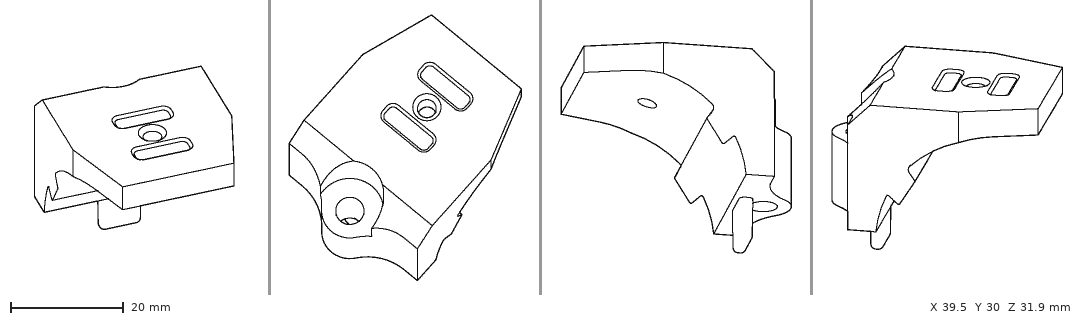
import cadquery as cq
import math

length = 39.5
width = 30.0
height = 23.98
back_x = 5.92
back_chamfer = 4.05
plate_thickness = 5.0

taper_start_x = 26.0
end_width = 21.0

arch_radius = 20.95
arch_center_x = 31.88
arch_center_z = height - plate_thickness - arch_radius

tooth_upper_tip = (18.17, 10.15)
tooth_lower_tip = (15.2, 5.37)
tooth_upper_root_x = 16.63
tooth_lower_root_x = 13.1
tooth_upper_root_round = 0.95
tooth_lower_root_round = 0.3
tooth_tip_round = 0.3

bore_diameter = 5.0
boss_radius = 5.0
boss_center_x = boss_radius
blend_radius = 10.0
counterbore_radius = 6.0
boss_height = 13.0

key_center_x = 8.73
key_thickness = 2.5
key_width = 7.9
key_length = 7.95
key_draft = 0.6
key_round = 1.0

hole_x = taper_start_x
hole_diameter = 3.3
countersink_diameter = 5.0
countersink_angle = 90
pocket_offset = 5.0
pocket_length = 10.05
pocket_width = 3.0
pocket_depth = 3.0
pocket_round = 1.0
pocket_chamfer = 0.5
rim_angle = 45


def arch_point(x):
    """Point of the arch at x, left of its centre and above it."""
    rise = math.sqrt(arch_radius**2 - (arch_center_x - x) ** 2)
    return (x, arch_center_z + rise)


def arch_midpoint(start, end):
    """Point of the arch half way in angle between two of its points."""
    angles = [math.atan2(z - arch_center_z, x - arch_center_x) for x, z in (start, end)]
    angle = sum(angles) / 2
    return (
        arch_center_x + arch_radius * math.cos(angle),
        arch_center_z + arch_radius * math.sin(angle),
    )


def make_side_profile():
    """Side outline with the arch and tooth, extruded over the full width."""
    arch_end = (arch_center_x, height - plate_thickness)
    upper_root = arch_point(tooth_upper_root_x)
    lower_root = arch_point(tooth_lower_root_x)
    foot_end = (arch_center_x - math.sqrt(arch_radius**2 - arch_center_z**2), 0)
    body = (
        cq.Workplane("XZ")
        .moveTo(0, 0)
        .lineTo(0, height - back_chamfer - back_x)
        .lineTo(back_x + back_chamfer, height)
        .lineTo(length, height)
        .lineTo(length, height - plate_thickness)
        .lineTo(*arch_end)
        .threePointArc(arch_midpoint(arch_end, upper_root), upper_root)
        .lineTo(*tooth_upper_tip)
        .lineTo(*tooth_lower_tip)
        .lineTo(*lower_root)
        .threePointArc(arch_midpoint(lower_root, foot_end), foot_end)
        .close()
        .extrude(width / 2, both=True)
    )
    rounds = (
        (upper_root, tooth_upper_root_round),
        (lower_root, tooth_lower_root_round),
        (tooth_upper_tip, tooth_tip_round),
        (tooth_lower_tip, tooth_tip_round),
    )
    for (x, z), radius in rounds:
        corner = cq.selectors.NearestToPointSelector((x, 0, z))
        body = body.edges("|Y").edges(corner).fillet(radius)
    return body


def make_plan(top):
    """Plan outline: boss nose blended into the back face, and tapered plate end."""
    reach = boss_radius + blend_radius
    blend_x = back_x - blend_radius
    blend_y = math.sqrt(reach**2 - (boss_center_x - blend_x) ** 2)
    share = boss_radius / reach
    tangent_x = boss_center_x + share * (blend_x - boss_center_x)
    tangent_y = share * blend_y
    angle = math.atan2(tangent_y - blend_y, tangent_x - blend_x) / 2
    middle_x = blend_x + blend_radius * math.cos(angle)
    middle_y = blend_y + blend_radius * math.sin(angle)
    return (
        cq.Workplane("XY")
        .moveTo(back_x, width / 2)
        .lineTo(taper_start_x, width / 2)
        .lineTo(length, end_width / 2)
        .lineTo(length, -end_width / 2)
        .lineTo(taper_start_x, -width / 2)
        .lineTo(back_x, -width / 2)
        .lineTo(back_x, -blend_y)
        .threePointArc((middle_x, -middle_y), (tangent_x, -tangent_y))
        .threePointArc((0, 0), (tangent_x, tangent_y))
        .threePointArc((middle_x, middle_y), (back_x, blend_y))
        .close()
        .extrude(top)
    )


def make_boss_cuts():
    """Screw bore and the counterbore above it, open towards the back."""
    seat = (
        cq.Workplane("XY", origin=(boss_center_x, 0, boss_height))
        .circle(counterbore_radius)
        .extrude(height)
    )
    opening = (
        cq.Workplane("XY", origin=(0, 0, boss_height))
        .rect(2 * boss_center_x, 2 * counterbore_radius)
        .extrude(height)
    )
    bore = cq.Workplane("XY").center(boss_center_x, 0).circle(bore_diameter / 2).extrude(height)
    return seat.union(opening).union(bore)


def make_key():
    """Rounded key that hangs below the foot."""
    return (
        cq.Workplane("XY")
        .center(key_center_x, 0)
        .rect(key_thickness, key_width)
        .extrude(-key_length, taper=key_draft)
        .edges("not >Z")
        .fillet(key_round)
    )


def make_pocket(x):
    """Round-bottomed pocket with a chamfered rim."""
    pocket = (
        cq.Workplane("XY", origin=(x, 0, height))
        .rect(pocket_width, pocket_length)
        .extrude(-pocket_depth)
        .edges("|Z")
        .fillet(pocket_round)
        .faces("<Z")
        .edges()
        .fillet(pocket_round)
    )
    rim_length = pocket_length + 2 * pocket_chamfer
    rim_width = pocket_width + 2 * pocket_chamfer
    rim_outline = cq.Sketch().rect(rim_width, rim_length).vertices().fillet(pocket_round + pocket_chamfer)
    rim = (
        cq.Workplane("XY", origin=(x, 0, height))
        .placeSketch(rim_outline)
        .extrude(-pocket_chamfer, taper=rim_angle)
    )
    return pocket.union(rim)


body = make_side_profile().intersect(make_plan(height))
body = body.cut(make_boss_cuts())
body = body.union(make_key())
body = (
    body.faces(">Z")
    .workplane(origin=(hole_x, 0, height))
    .cskHole(hole_diameter, countersink_diameter, countersink_angle)
)
for side in (-1, 1):
    body = body.cut(make_pocket(hole_x + side * pocket_offset))

result = body